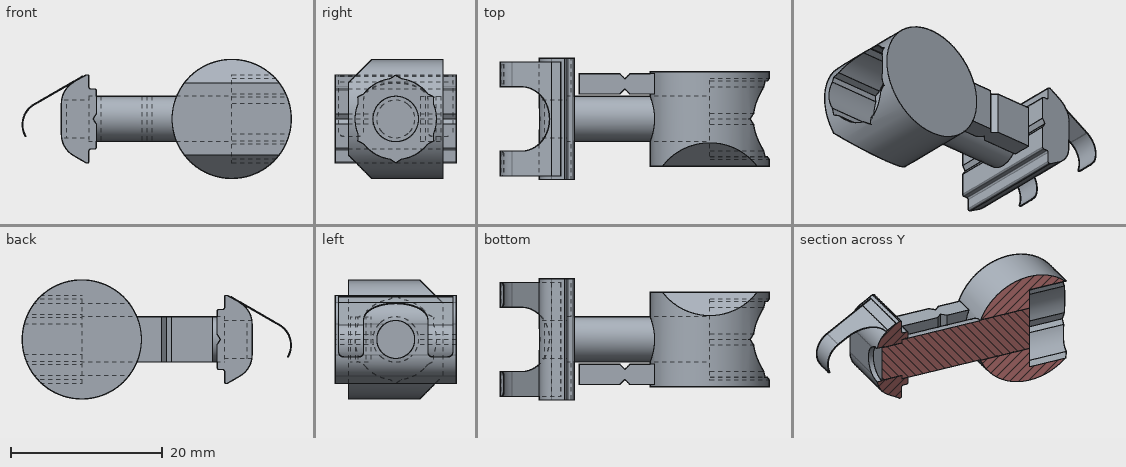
import cadquery as cq
import math


anchor_radius = 7.85
anchor_half_length = 6.25
front_flat_half_height = 4.75
bevel = anchor_radius - front_flat_half_height
bore_radius = 5.35
bore_floor_x = 0
bore_notch_count = 6
bore_notch_half_width = 0.75
bore_notch_tip_radius = 5.78

tab_start_x = -17.2
tab_inner_y = 3.25
tab_width = 2.7
tab_half_height = 2.95
tab_notch_x = -11.15
tab_notch_depth = 0.67

bolt_radius = 2.995
tip_radius = 5.0 / 2
tip_recess = 0.7

nut_half_length = 7.99
nut_left_x = -22.45
nut_shoulder_x = -18.8
nut_right_x = -17.83
nut_half_height = 5.8
nut_neck_half_height = 3.97
nut_face_half_height = 2.02
nut_side_radius = 3.25
nut_edge_fillet = 0.2
nut_groove_half_width = 0.67
nut_groove_depth = 0.43

leaf_slope = math.radians(30)
leaf_thickness = 0.1
leaf_half_width = 7.5
leaf_gap_radius = 4.2
leaf_end_x = -19.55
leaf_bend_radius = 3.1
leaf_left_x = anchor_radius - 35.45
leaf_finger_sweep = math.radians(91)
leaf_corner_radius = 0.7
leaf_gap_apex_x = -21.05

slope_start_x = nut_left_x + nut_side_radius * (1 - math.sin(leaf_slope))
slope_start_z = nut_face_half_height + nut_side_radius * math.cos(leaf_slope)
slope_end_x = slope_start_x + (nut_half_height - slope_start_z) / math.tan(leaf_slope)


def cylinder_along_x(radius, start_x, end_x):
    return cq.Workplane("YZ", origin=(start_x, 0, 0)).circle(radius).extrude(end_x - start_x)


def height_on_slope(x):
    """Height of the nut's upper slope at x."""
    return slope_start_z + (x - slope_start_x) * math.tan(leaf_slope)


def make_anchor():
    body = cq.Workplane("XZ").circle(anchor_radius).extrude(anchor_half_length, both=True)

    for side in (1, -1):
        bevel_section = [
            (-anchor_half_length, side * front_flat_half_height),
            (-anchor_half_length, side * anchor_radius),
            (-anchor_half_length + bevel, side * anchor_radius),
        ]
        body = body.cut(
            cq.Workplane("YZ").polyline(bevel_section).close().extrude(anchor_radius, both=True)
        )

    tab_outer_y = tab_inner_y + tab_width
    tab_outline = [
        (tab_start_x, tab_inner_y),
        (tab_notch_x - tab_notch_depth, tab_inner_y),
        (tab_notch_x, tab_inner_y + tab_notch_depth),
        (tab_notch_x + tab_notch_depth, tab_inner_y),
        (0, tab_inner_y),
        (0, tab_outer_y),
        (tab_notch_x + tab_notch_depth, tab_outer_y),
        (tab_notch_x, tab_outer_y - tab_notch_depth),
        (tab_notch_x - tab_notch_depth, tab_outer_y),
        (tab_start_x, tab_outer_y),
    ]
    tab = cq.Workplane("XY").polyline(tab_outline).close().extrude(tab_half_height, both=True)
    body = body.union(tab)

    bore_plane = cq.Workplane("YZ", origin=(bore_floor_x, 0, 0))
    bore_depth = anchor_radius - bore_floor_x
    bore = bore_plane.circle(bore_radius).extrude(bore_depth)
    notch_base = math.sqrt(bore_radius**2 - bore_notch_half_width**2)
    notch_outline = [
        (0, 0),
        (bore_notch_half_width, notch_base),
        (0, bore_notch_tip_radius),
        (-bore_notch_half_width, notch_base),
    ]
    notch = bore_plane.polyline(notch_outline).close().extrude(bore_depth)
    for index in range(bore_notch_count):
        angle = index * 360 / bore_notch_count
        bore = bore.union(notch.rotate((0, 0, 0), (1, 0, 0), angle))
    body = body.cut(bore)

    return body.cut(cylinder_along_x(bolt_radius, -anchor_radius, bore_floor_x))


def make_bolt():
    shank = cylinder_along_x(bolt_radius, nut_shoulder_x, bore_floor_x)
    tip = cylinder_along_x(tip_radius, nut_left_x + tip_recess, nut_shoulder_x)
    return shank.union(tip)


def make_nut():
    arc_centre_x = nut_left_x + nut_side_radius
    arc_mid_x = arc_centre_x - nut_side_radius * math.cos(leaf_slope)
    arc_mid_z = nut_face_half_height + nut_side_radius * math.sin(leaf_slope)
    body = (
        cq.Workplane("XZ")
        .moveTo(nut_left_x, -nut_face_half_height)
        .lineTo(nut_left_x, nut_face_half_height)
        .threePointArc((arc_mid_x, arc_mid_z), (slope_start_x, slope_start_z))
        .lineTo(slope_end_x, nut_half_height)
        .lineTo(nut_shoulder_x, nut_half_height)
        .lineTo(nut_shoulder_x, nut_neck_half_height)
        .lineTo(nut_right_x, nut_neck_half_height)
        .lineTo(nut_right_x, nut_groove_half_width)
        .lineTo(nut_right_x - nut_groove_depth, 0)
        .lineTo(nut_right_x, -nut_groove_half_width)
        .lineTo(nut_right_x, -nut_neck_half_height)
        .lineTo(nut_shoulder_x, -nut_neck_half_height)
        .lineTo(nut_shoulder_x, -nut_half_height)
        .lineTo(slope_end_x, -nut_half_height)
        .lineTo(slope_start_x, -slope_start_z)
        .threePointArc((arc_mid_x, -arc_mid_z), (nut_left_x, -nut_face_half_height))
        .close()
        .extrude(nut_half_length, both=True)
    )

    margin = 0.05
    for low_z, high_z in (
        (nut_neck_half_height - margin, nut_half_height + margin),
        (-nut_half_height - margin, -nut_neck_half_height + margin),
    ):
        shoulder_edges = cq.selectors.BoxSelector(
            (nut_shoulder_x - margin, -margin, low_z),
            (nut_right_x + margin, margin, high_z),
        )
        body = body.edges("|Y").edges(shoulder_edges).fillet(nut_edge_fillet)

    body = body.cut(cylinder_along_x(tip_radius, nut_left_x, nut_right_x))
    return body.cut(cylinder_along_x(bolt_radius, nut_shoulder_x, nut_right_x))


def make_leaf():
    bend_x = leaf_left_x + leaf_bend_radius
    along = (math.cos(leaf_slope), math.sin(leaf_slope))
    across = (-math.sin(leaf_slope), math.cos(leaf_slope))
    end_z = height_on_slope(leaf_end_x)
    inner_radius = leaf_bend_radius - leaf_thickness
    bend_z = height_on_slope(bend_x) - inner_radius / math.cos(leaf_slope)
    start_angle = math.radians(90) + leaf_slope
    end_angle = start_angle + leaf_finger_sweep
    mid_angle = (start_angle + end_angle) / 2

    def on_bend(radius, angle):
        return (bend_x + radius * math.cos(angle), bend_z + radius * math.sin(angle))

    sheet = (
        cq.Workplane("XZ")
        .moveTo(leaf_end_x, end_z)
        .lineTo(leaf_end_x + leaf_thickness * across[0], end_z + leaf_thickness * across[1])
        .lineTo(*on_bend(leaf_bend_radius, start_angle))
        .threePointArc(on_bend(leaf_bend_radius, mid_angle), on_bend(leaf_bend_radius, end_angle))
        .lineTo(*on_bend(inner_radius, end_angle))
        .threePointArc(on_bend(inner_radius, mid_angle), on_bend(inner_radius, start_angle))
        .close()
        .extrude(leaf_half_width, both=True)
    )

    gap_plane = cq.Plane(
        origin=(leaf_gap_apex_x, 0, height_on_slope(leaf_gap_apex_x)),
        xDir=(along[0], 0, along[1]),
        normal=(across[0], 0, across[1]),
    )
    reach = 2 * leaf_bend_radius
    gap = (
        cq.Workplane(gap_plane)
        .center(-leaf_gap_radius, 0)
        .circle(leaf_gap_radius)
        .extrude(reach, both=True)
        .union(
            cq.Workplane(gap_plane)
            .center(-leaf_gap_radius - reach, 0)
            .rect(2 * reach, 2 * leaf_gap_radius)
            .extrude(reach, both=True)
        )
    )
    sheet = sheet.cut(gap)

    tip_x, tip_z = on_bend(leaf_bend_radius - leaf_thickness / 2, end_angle)
    tip_area = cq.selectors.BoxSelector(
        (tip_x - leaf_thickness, -2 * leaf_half_width, tip_z - leaf_thickness),
        (tip_x + leaf_thickness, 2 * leaf_half_width, tip_z + leaf_thickness),
    )
    across_tip = cq.Vector(math.cos(end_angle), 0, math.sin(end_angle))
    tip_corners = sheet.edges(tip_area).edges(cq.selectors.ParallelDirSelector(across_tip))
    return tip_corners.fillet(leaf_corner_radius)


anchor = make_anchor()
bolt = make_bolt()
nut = make_nut().union(make_leaf())

result = cq.Compound.makeCompound([anchor.val(), bolt.val(), nut.val()])